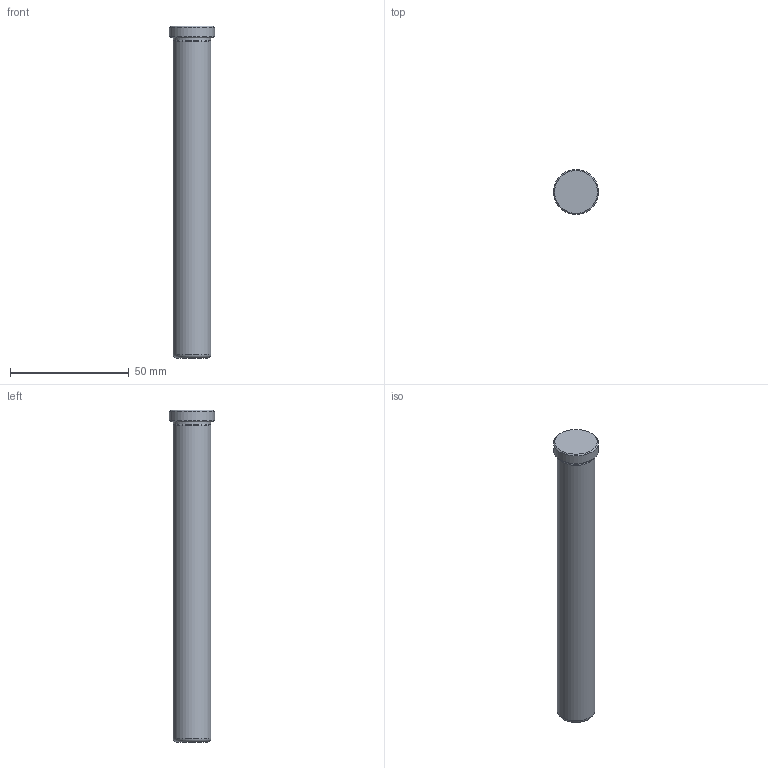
import cadquery as cq

TOTAL_LENGTH = 140.0
HEAD_DIAMETER = 19.0
HEAD_HEIGHT = 5.0
SHANK_DIAMETER = 16.0

HEAD_EDGE_CHAMFER = 0.5
TIP_RADIUS = 1.5
RELIEF_DEPTH = 0.15
RELIEF_LENGTH = 1.5
RELIEF_RUNOUT = 0.5

SEAT_Z = TOTAL_LENGTH - HEAD_HEIGHT


def make_head():
    """Round head with both rims chamfered."""
    head = cq.Workplane("XY").workplane(offset=SEAT_Z).circle(HEAD_DIAMETER / 2).extrude(HEAD_HEIGHT)
    return head.edges("%CIRCLE").chamfer(HEAD_EDGE_CHAMFER)


def make_shank():
    """Turned shank with a rounded tip and a shallow relief groove under the head."""
    radius = SHANK_DIAMETER / 2
    relief_radius = radius - RELIEF_DEPTH
    relief_bottom = SEAT_Z - RELIEF_LENGTH
    profile = (
        cq.Workplane("XZ")
        .lineTo(radius - TIP_RADIUS, 0)
        .radiusArc((radius, TIP_RADIUS), -TIP_RADIUS)
        .lineTo(radius, relief_bottom)
        .lineTo(relief_radius, relief_bottom + RELIEF_RUNOUT)
        .lineTo(relief_radius, SEAT_Z)
        .lineTo(0, SEAT_Z)
        .close()
    )
    return profile.revolve(360, (0, 0, 0), (0, 1, 0))


result = make_shank().union(make_head())